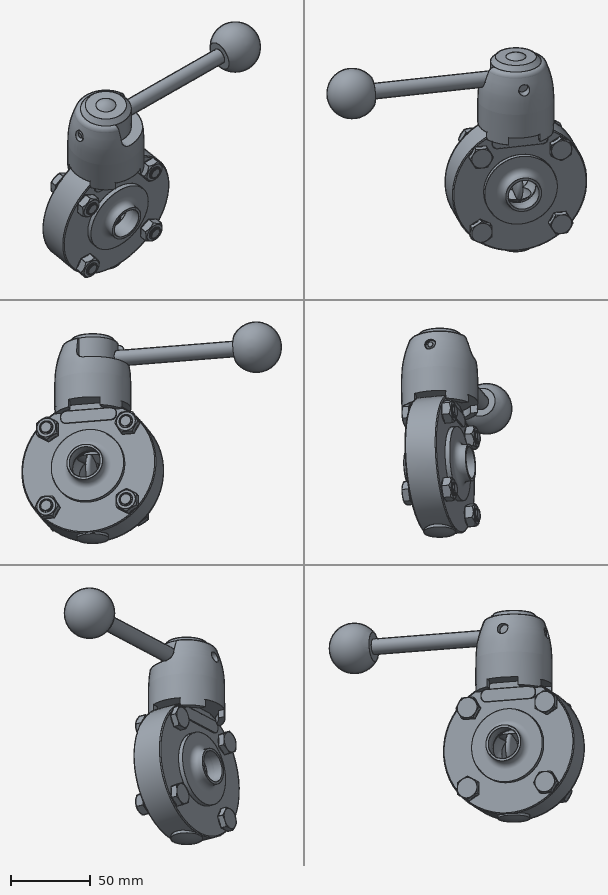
import cadquery as cq
import math


BODY_RADIUS = 43.5
BODY_WIDTH = 20.7
BODY_CHAMFER = 0.7
BOTTOM_BOSS_RADIUS = 10.0
BOTTOM_BOSS_END = 44.3
BOTTOM_DOME_HEIGHT = 1.5
PAD_WIDTH = 36.0
PAD_BOTTOM = 29.6
PAD_TOP = 37.5
PAD_RAISE = 1.0
PAD_CORNER = 3.5

PIPE_LENGTH = 40.3
PIPE_RADIUS = 11.5
BORE_RADIUS = 10.0
FLARE_START = 14.5
FLARE_END = 8.1
SEAT_EDGE_RADIUS = 10.9
COLLAR_RADIUS = 23.5
COLLAR_LENGTH = 26.8
PIPE_FILLET = 4.0

DISC_RADIUS = 12.5
DISC_RIM_WIDTH = 3.6
STEM_RADIUS = 3.5
STEM_FLARE_START = 4.8
STEM_BOSS_UNDERSIDE = 7.0
STEM_BOSS_UNDERSIDE_RADIUS = 7.3
STEM_BOSS_RIDGE = 8.3
STEM_LENGTH = 14.9

BOLT_SPACING = 51.6
HEX_WIDTH = 13.0
HEX_CHAMFER = 0.5
WASHER_RADIUS = 6.1
WASHER_THICKNESS = 0.5
HEAD_HEIGHT = 4.5
NUT_HEIGHT = 6.0
NUT_CHAMFER_HEIGHT = 1.3
NUT_TOP_RADIUS = 6.1
NUT_COLLAR_RADIUS = 4.3
NUT_COLLAR_HEIGHT = 0.5
BOLT_RADIUS = 3.5
BOLT_PROTRUSION = 0.8

HUB_RADIUS = 24.0
SKIRT_INNER_RADIUS = 20.09
SKIRT_BOTTOM = 36.5
HUB_BOTTOM = 41.5
OGIVE_START = 57.5
SHOULDER_RADIUS = 19.5
SHOULDER_BOTTOM = 80.7
SHOULDER_FILLET = 3.8
CAP_BOTTOM = 83.7
CAP_RADIUS = 15.95
CAP_TOP_RADIUS = 12.9
CAP_TOP = 86.8
CAP_DOME_RADIUS = 6.3
CAP_DOME_HEIGHT = 2.1
NOTCH_WIDTH = 20.3
HUB_HOLE_RADIUS = 3.5
HUB_HOLE_FLOOR = 16.5
SCREW_FACE = 19.2
SCREW_RADIUS = 3.3
SCREW_TIP_RADIUS = 1.7
SCREW_TIP_LENGTH = 2.0

LEVER_HEIGHT = 73.5
LEVER_RADIUS = 5.0
BALL_RADIUS = 15.9
BALL_END = 165.4 - BODY_RADIUS
BALL_FLAT_OFFSET = 12.9


def rod_x(radius, start, end):
    """Cylinder about the X axis."""
    return cq.Workplane("YZ", origin=(start, 0, 0)).circle(radius).extrude(end - start)


def dome_profile(radius, base, height):
    """Half outline of a spherical dome on the stem axis, seen in the XZ plane."""
    half_angle = 2 * math.atan(abs(height) / radius)
    sphere_radius = radius / math.sin(half_angle)
    mid_drop = sphere_radius * (1 - math.cos(half_angle / 2))
    middle = (
        sphere_radius * math.sin(half_angle / 2),
        base + height - math.copysign(mid_drop, height),
    )
    return (
        cq.Workplane("XZ")
        .moveTo(0, base)
        .lineTo(radius, base)
        .threePointArc(middle, (0, base + height))
        .close()
    )


def spun_about_stem(profile):
    return profile.revolve(360, (0, 0, 0), (0, 1, 0))


def make_body():
    body = rod_x(BODY_RADIUS, -BODY_WIDTH / 2, BODY_WIDTH / 2).edges().chamfer(BODY_CHAMFER)
    pad_width_x = BODY_WIDTH + 2 * PAD_RAISE
    pad = (
        cq.Workplane("XY")
        .box(pad_width_x, PAD_WIDTH, PAD_TOP - PAD_BOTTOM)
        .edges("|X")
        .fillet(PAD_CORNER)
        .translate((0, 0, (PAD_TOP + PAD_BOTTOM) / 2))
    )
    boss_height = BOTTOM_BOSS_END - BODY_RADIUS / 2
    boss = (
        cq.Workplane("XY", origin=(0, 0, -BOTTOM_BOSS_END))
        .circle(BOTTOM_BOSS_RADIUS)
        .extrude(boss_height)
    )
    dome = spun_about_stem(dome_profile(BOTTOM_BOSS_RADIUS, -BOTTOM_BOSS_END, -BOTTOM_DOME_HEIGHT))
    return body.union(pad).union(boss).union(dome)


def make_pipe():
    """Pipe ends, flared by a round fillet into the raised collars."""
    half_collar = COLLAR_LENGTH / 2
    half_pipe = PIPE_LENGTH / 2
    fillet_edge = half_collar + PIPE_FILLET
    right_half = (
        cq.Workplane("XY")
        .lineTo(0, COLLAR_RADIUS)
        .lineTo(half_collar, COLLAR_RADIUS)
        .lineTo(half_collar, PIPE_RADIUS + PIPE_FILLET)
        .radiusArc((fillet_edge, PIPE_RADIUS), -PIPE_FILLET)
        .lineTo(half_pipe, PIPE_RADIUS)
        .lineTo(half_pipe, 0)
        .close()
        .revolve(360, (0, 0, 0), (1, 0, 0))
    )
    return right_half.union(right_half.mirror("YZ"))


def make_bore():
    """Bore that widens gently from both ends into a spherical seat around the valve disc."""
    half_pipe = PIPE_LENGTH / 2
    seat_radius = math.hypot(FLARE_END, SEAT_EDGE_RADIUS)
    return (
        cq.Workplane("XY")
        .moveTo(-half_pipe, 0)
        .lineTo(-half_pipe, BORE_RADIUS)
        .lineTo(-FLARE_START, BORE_RADIUS)
        .lineTo(-FLARE_END, SEAT_EDGE_RADIUS)
        .threePointArc((0, seat_radius), (FLARE_END, SEAT_EDGE_RADIUS))
        .lineTo(FLARE_START, BORE_RADIUS)
        .lineTo(half_pipe, BORE_RADIUS)
        .lineTo(half_pipe, 0)
        .close()
        .revolve(360, (0, 0, 0), (1, 0, 0))
    )


def make_valve_disc():
    """Lens-shaped disc lying in the XZ plane, with a ball-ended boss at each end of its stem."""
    rim_radius = DISC_RIM_WIDTH / 2
    disc = (
        cq.Workplane("XY")
        .moveTo(0, -STEM_RADIUS)
        .lineTo(DISC_RADIUS - rim_radius, -rim_radius)
        .threePointArc((DISC_RADIUS, 0), (DISC_RADIUS - rim_radius, rim_radius))
        .lineTo(0, STEM_RADIUS)
        .close()
        .revolve(360, (0, 0, 0), (0, 1, 0))
    )
    ridge_radius = math.sqrt(DISC_RADIUS**2 - STEM_BOSS_RIDGE**2)
    cap_angle = math.asin(ridge_radius / DISC_RADIUS) / 2
    cap_middle = (DISC_RADIUS * math.sin(cap_angle), DISC_RADIUS * math.cos(cap_angle))
    upper_boss = spun_about_stem(
        cq.Workplane("XZ")
        .lineTo(STEM_RADIUS, 0)
        .lineTo(STEM_RADIUS, STEM_FLARE_START)
        .lineTo(STEM_BOSS_UNDERSIDE_RADIUS, STEM_BOSS_UNDERSIDE)
        .lineTo(ridge_radius, STEM_BOSS_RIDGE)
        .threePointArc(cap_middle, (0, DISC_RADIUS))
        .close()
    )
    stem = cq.Workplane("XY").circle(STEM_RADIUS).extrude(STEM_LENGTH, both=True)
    return disc.union(upper_boss).union(upper_boss.mirror("XY")).union(stem)


def make_bolt():
    """Hex bolt along X through the body, with its head at -X and a domed nut at +X."""
    hex_diameter = HEX_WIDTH / math.cos(math.pi / 6)
    corner_radius = hex_diameter / 2
    seat = BODY_WIDTH / 2 + WASHER_THICKNESS
    head_end = seat + HEAD_HEIGHT
    nut_end = seat + NUT_HEIGHT
    collar_end = nut_end + NUT_COLLAR_HEIGHT

    def hex_prism(start, end):
        return cq.Workplane("YZ", origin=(start, 0, 0)).polygon(6, hex_diameter).extrude(end - start)

    head_turning = rod_x(corner_radius, -head_end, -seat).faces("<X").edges().chamfer(
        HEX_CHAMFER, corner_radius - HEX_WIDTH / 2
    )
    nut_turning = rod_x(corner_radius, seat, nut_end).faces(">X").edges().chamfer(
        NUT_CHAMFER_HEIGHT, corner_radius - NUT_TOP_RADIUS
    )
    head = hex_prism(-head_end, -seat).intersect(head_turning)
    nut = hex_prism(seat, nut_end).intersect(nut_turning)
    return (
        rod_x(WASHER_RADIUS, -seat, seat)
        .union(head)
        .union(nut)
        .union(rod_x(NUT_COLLAR_RADIUS, seat, collar_end))
        .union(rod_x(BOLT_RADIUS, seat, collar_end + BOLT_PROTRUSION))
    )


def make_hub():
    """Turned hub: hollow skirt, ogive side, rounded shoulder and a coned cap with a dome."""
    inset = HUB_RADIUS - SHOULDER_RADIUS
    rise = SHOULDER_BOTTOM - OGIVE_START
    ogive_radius = (rise**2 + inset**2) / (2 * inset)
    outline = (
        cq.Workplane("XZ")
        .moveTo(0, HUB_BOTTOM)
        .lineTo(SKIRT_INNER_RADIUS, HUB_BOTTOM)
        .lineTo(SKIRT_INNER_RADIUS, SKIRT_BOTTOM)
        .lineTo(HUB_RADIUS, SKIRT_BOTTOM)
        .lineTo(HUB_RADIUS, OGIVE_START)
        .radiusArc((SHOULDER_RADIUS, SHOULDER_BOTTOM), -ogive_radius)
        .radiusArc((CAP_RADIUS, CAP_BOTTOM), -SHOULDER_FILLET)
        .lineTo(CAP_TOP_RADIUS, CAP_TOP)
        .lineTo(0, CAP_TOP)
        .close()
    )
    hub = spun_about_stem(outline)
    return hub.union(spun_about_stem(dome_profile(CAP_DOME_RADIUS, CAP_TOP, CAP_DOME_HEIGHT)))


def skirt_notches():
    """Cross-shaped cut that leaves the skirt as four tabs."""
    height = HUB_BOTTOM - SKIRT_BOTTOM
    bar = (
        cq.Workplane("XY", origin=(0, 0, SKIRT_BOTTOM))
        .rect(2 * HUB_RADIUS, NOTCH_WIDTH)
        .extrude(height)
    )
    return bar.union(bar.rotate((0, 0, 0), (0, 0, 1), 90))


def lever_sweep():
    """Space swept by the lever over a quarter turn from +Y to +X, open upward around the cap."""
    reach = 2 * HUB_RADIUS
    height = CAP_TOP - LEVER_HEIGHT
    quadrant = cq.Workplane("XY").box(reach, reach, height + LEVER_RADIUS, centered=False)
    quadrant = quadrant.translate((0, 0, LEVER_HEIGHT - LEVER_RADIUS))
    trench = rod_x(LEVER_RADIUS, 0, reach).union(
        cq.Workplane("XY").box(reach, 2 * LEVER_RADIUS, height, centered=(False, True, False))
    )
    trench = trench.translate((0, 0, LEVER_HEIGHT))
    cap_core = cq.Workplane("XY").circle(CAP_RADIUS).extrude(2 * CAP_TOP)
    return (
        quadrant.union(trench)
        .union(trench.rotate((0, 0, 0), (0, 0, 1), 90))
        .cut(cap_core)
    )


def hub_hole(floor):
    """Blind hole into the -X side of the hub at lever height, ending at the given distance."""
    return rod_x(HUB_HOLE_RADIUS, -HUB_RADIUS, -floor).translate((0, 0, LEVER_HEIGHT))


def screw_hole():
    """Hole into the -Y side, around the coned tip of a set screw standing on its floor."""
    tip = (
        cq.Workplane("YZ", origin=(-SCREW_FACE, 0, LEVER_HEIGHT))
        .circle(SCREW_RADIUS)
        .workplane(offset=-SCREW_TIP_LENGTH)
        .circle(SCREW_TIP_RADIUS)
        .loft()
    )
    return hub_hole(SCREW_FACE).cut(tip).rotate((0, 0, 0), (0, 0, 1), 90)


def make_lever():
    ball_center = BALL_END - BALL_RADIUS
    flat = ball_center - BALL_FLAT_OFFSET
    rod = cq.Workplane("XZ").circle(LEVER_RADIUS).extrude(-ball_center)
    behind_flat = cq.Workplane("XZ", origin=(0, flat, 0)).circle(BALL_RADIUS).extrude(BALL_RADIUS)
    ball = cq.Workplane("XY").sphere(BALL_RADIUS).translate((0, ball_center, 0)).cut(behind_flat)
    return ball.union(rod).translate((0, 0, LEVER_HEIGHT))


hub = make_hub().cut(skirt_notches()).cut(lever_sweep())
hub = hub.cut(hub_hole(HUB_HOLE_FLOOR)).cut(screw_hole())
body = make_body().union(make_pipe()).cut(make_bore()).union(make_valve_disc())

bolt = make_bolt().translate((0, BOLT_SPACING / 2, BOLT_SPACING / 2))
for quarter in range(4):
    body = body.union(bolt.rotate((0, 0, 0), (1, 0, 0), 90 * quarter))

result = body.union(hub).union(make_lever())